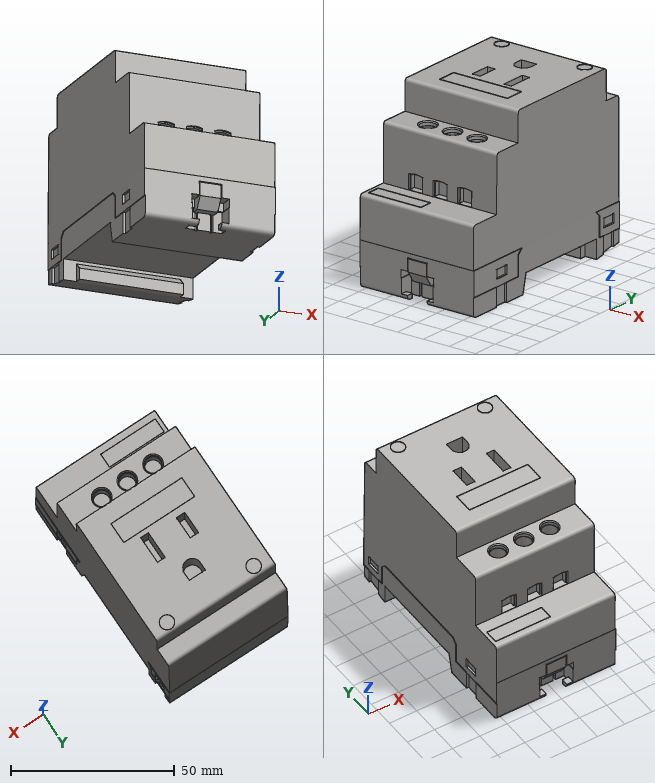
import cadquery as cq

WIDTH = 43.8
LENGTH = 73.9
HEIGHT = 61.8
HALF_WIDTH = WIDTH / 2
OVERLAP = 0.4

SEAM_Z = 15.7
TERMINAL_STEP_Z = 51.0
LABEL_STEP_Z = 30.75
TERMINAL_FRONT_Y = 11.75
SOCKET_FRONT_Y = 22.55
SOCKET_BACK_Y = 67.25
HOUSING_WIDTH = 43.6
HOUSING_LEAN = 0.25
FRONT_DRAFT = 0.1
BACK_DRAFT = 0.3
EDGE_RADIUS = 1.1

BASE_INSET = 0.2
CHANNEL_Z = 6.8
CHANNEL_FRONT_Y = 26.8
CHANNEL_BACK_Y = 62.45
FRONT_FOOT_Y = 25.2
REAR_SLOPE_TOP_Z = 2.15
REAR_SLOPE_END_Y = 62.9
FOOT_RADIUS = 1.5

HOOK_TOP_Z = 5.8
FRONT_HOOK_WIDTH = 7.4
FRONT_HOOK_TIP_Y = 29.7
FRONT_HOOK_NECK_Y = 28.3
FRONT_HOOK_TOE = (25.7, 0.9)
REAR_HOOK_WIDTH = 34.7
REAR_HOOK_TIP = (60.1, 3.6)

PLATE_THICKNESS = 0.95
FRONT_PLATE_Y = 22.7
REAR_PLATE_Y = 63.85
PLATE_CORNER = 1.7
SNAP_LENGTH = 5.2
SNAP_CENTRES_Y = (14.25, 68.6)
SNAP_WINDOW_BOTTOM_Z = 9.4
SNAP_WINDOW_HEIGHT = 3.2
SNAP_WINDOW_DEPTH = 0.75
SNAP_CHANNEL_DEPTH = 0.75

SLIDER_DEPTH = 5.1
SLIDER_X = 0.15
SLIDER_LIP_Z = 1.6
SLIDER_LIP_DEPTH = 2.5
SLIDER_WINDOW_Z = 9.6
SLIDER_WINDOW_WIDTH = 12.5
SLIDER_THROAT_WIDTH = 12.2
SLIDER_GAP_WIDTH = 7.55
FLAP_SEAT_TOP_Z = 14.05
FLAP_SEAT_DEPTH = 1.5
FLAP_CLEARANCE = 0.3
FLAP_EDGE_Z = 9.4
FLAP_UNDERSIDE_Z = 5.7
FLAP_SLOPE_DEPTH = 2.45
SHOULDER_DEPTH = 4.35
TONGUE_WIDTH = 4.3
TONGUE_GROOVE = 0.8

TERMINAL_PITCH = 9.45
TERMINAL_Y = 18.0
SCREW_HOLE_DIAMETER = 5.6
SCREW_HOLE_STEP_DEPTH = 1.5
SCREW_BORE_DIAMETER = 5.3
SCREW_BORE_DEPTH = 5.9
SCREW_HOLE_CHAMFER = 0.4
WIRE_SLOT_HEIGHT = 5.8
WIRE_SLOT_ARCH = 0.5
WIRE_SLOT_WIDTH = 5.3
WIRE_SLOT_STEP = 0.45
WIRE_SLOT_STEP_DEPTH = 0.75
WIRE_SLOT_DEPTH = 2.45
WIRE_SLOT_SILL = 0.15

SOCKET_HOLE_DEPTH = 8.9
EARTH_WIDTH = 5.9
EARTH_TOP_Y = 56.75
EARTH_CENTRE_Y = 54.0
BLADE_CENTRE_Y = 42.0
NEUTRAL_X, NEUTRAL_WIDTH, NEUTRAL_LENGTH = 6.5, 2.8, 9.3
LINE_X, LINE_WIDTH, LINE_LENGTH = -6.2, 3.0, 7.6
RIVET_X = 15.95
RIVET_Y = 63.9
RIVET_DIAMETER = 4.7
RIVET_RECESS = 0.2

PANEL_RECESS = 0.15
SOCKET_PANEL_Y = 32.15
SOCKET_PANEL_WIDTH = 26.1
SOCKET_PANEL_LENGTH = 7.1
STEP_PANEL_X = -10.4
STEP_PANEL_Y = 5.0
STEP_PANEL_WIDTH = 20.1
STEP_PANEL_LENGTH = 4.9


def side_profile(points, x_start, x_end):
    """Extrude a closed outline of (y, z) points between two X positions."""
    outline = cq.Workplane("YZ").workplane(offset=x_start).polyline(points).close()
    return outline.extrude(x_end - x_start)


def block(x_range, y_range, z_range):
    """Box spanning three coordinate ranges."""
    (x0, x1), (y0, y1), (z0, z1) = x_range, y_range, z_range
    return cq.Workplane("XY").box(x1 - x0, y1 - y0, z1 - z0, centered=False).translate((x0, y0, z0))


def centred(width):
    """X range of the given width about the middle plane."""
    return (-width / 2, width / 2)


def face_at(z, x=0.0, y=0.0):
    """Horizontal sketch plane at height z with its origin at (x, y)."""
    return cq.Workplane("XY", origin=(x, y, z))


def stepped_housing():
    outline = [
        (0, SEAM_Z),
        (FRONT_DRAFT, LABEL_STEP_Z),
        (TERMINAL_FRONT_Y, LABEL_STEP_Z),
        (TERMINAL_FRONT_Y, TERMINAL_STEP_Z),
        (SOCKET_FRONT_Y, TERMINAL_STEP_Z),
        (SOCKET_FRONT_Y, HEIGHT),
        (SOCKET_BACK_Y, HEIGHT),
        (SOCKET_BACK_Y, TERMINAL_STEP_Z),
        (LENGTH - BACK_DRAFT, TERMINAL_STEP_Z),
        (LENGTH, SEAM_Z),
    ]
    housing = side_profile(outline, -HOUSING_WIDTH / 2, HOUSING_WIDTH / 2)
    outer_corners = [
        (FRONT_DRAFT, LABEL_STEP_Z),
        (TERMINAL_FRONT_Y, TERMINAL_STEP_Z),
        (SOCKET_FRONT_Y, HEIGHT),
        (SOCKET_BACK_Y, HEIGHT),
        (LENGTH - BACK_DRAFT, TERMINAL_STEP_Z),
    ]
    for y, z in outer_corners:
        housing = housing.edges(cq.selectors.NearestToPointSelector((0, y, z))).fillet(EDGE_RADIUS)
    return housing


def socket_holes():
    half = EARTH_WIDTH / 2
    earth = (
        face_at(HEIGHT)
        .moveTo(-half, EARTH_TOP_Y)
        .lineTo(-half, EARTH_CENTRE_Y)
        .threePointArc((0, EARTH_CENTRE_Y - half), (half, EARTH_CENTRE_Y))
        .lineTo(half, EARTH_TOP_Y)
        .close()
    )
    neutral = face_at(HEIGHT, NEUTRAL_X, BLADE_CENTRE_Y).rect(NEUTRAL_WIDTH, NEUTRAL_LENGTH)
    line = face_at(HEIGHT, LINE_X, BLADE_CENTRE_Y).rect(LINE_WIDTH, LINE_LENGTH)
    holes = earth.extrude(-SOCKET_HOLE_DEPTH)
    holes = holes.union(neutral.extrude(-SOCKET_HOLE_DEPTH))
    return holes.union(line.extrude(-SOCKET_HOLE_DEPTH))


def rivet_recesses():
    rivets = face_at(HEIGHT).pushPoints([(-RIVET_X, RIVET_Y), (RIVET_X, RIVET_Y)])
    return rivets.circle(RIVET_DIAMETER / 2).extrude(-RIVET_RECESS)


def label_panels():
    socket = face_at(HEIGHT, 0, SOCKET_PANEL_Y).rect(SOCKET_PANEL_WIDTH, SOCKET_PANEL_LENGTH)
    step = face_at(LABEL_STEP_Z, STEP_PANEL_X, STEP_PANEL_Y).rect(STEP_PANEL_WIDTH, STEP_PANEL_LENGTH)
    return socket.extrude(-PANEL_RECESS).union(step.extrude(-PANEL_RECESS))


def screw_hole(x):
    """Terminal screw hole with a chamfered mouth, narrowing slightly to the bore below."""
    radius = SCREW_HOLE_DIAMETER / 2
    mouth_face = face_at(TERMINAL_STEP_Z, x, TERMINAL_Y)
    hole = mouth_face.circle(radius).extrude(-SCREW_HOLE_STEP_DEPTH)
    bore = mouth_face.circle(SCREW_BORE_DIAMETER / 2).extrude(-SCREW_BORE_DEPTH)
    mouth = mouth_face.circle(radius + SCREW_HOLE_CHAMFER).extrude(-SCREW_HOLE_CHAMFER, taper=45)
    return hole.union(bore).union(mouth)


def arched_slot(x, width, height, depth):
    """Slot with an arched top, cut backwards from the terminal wall."""
    half = width / 2
    sill_z = LABEL_STEP_Z + WIRE_SLOT_SILL
    shoulder_z = LABEL_STEP_Z + height - WIRE_SLOT_ARCH
    wall = cq.Workplane("XZ", origin=(x, TERMINAL_FRONT_Y, 0))
    outline = (
        wall.moveTo(-half, sill_z)
        .lineTo(-half, shoulder_z)
        .threePointArc((0, LABEL_STEP_Z + height), (half, shoulder_z))
        .lineTo(half, sill_z)
        .close()
    )
    return outline.extrude(-depth)


def wire_slot(x):
    """Wire entry that narrows by a small step part way in."""
    mouth = arched_slot(x, WIRE_SLOT_WIDTH, WIRE_SLOT_HEIGHT, WIRE_SLOT_STEP_DEPTH)
    throat_width = WIRE_SLOT_WIDTH - 2 * WIRE_SLOT_STEP
    throat = arched_slot(x, throat_width, WIRE_SLOT_HEIGHT - WIRE_SLOT_STEP, WIRE_SLOT_DEPTH)
    return mouth.union(throat)


def leaning_housing():
    housing = stepped_housing().cut(socket_holes()).cut(rivet_recesses()).cut(label_panels())
    for x in (-TERMINAL_PITCH, 0, TERMINAL_PITCH):
        housing = housing.cut(screw_hole(x)).cut(wire_slot(x))
    housing = housing.translate(((HOUSING_WIDTH - WIDTH) / 2, 0, 0))
    return housing.rotate((-HALF_WIDTH, 0, SEAM_Z), (-HALF_WIDTH, 1, SEAM_Z), HOUSING_LEAN)


def rail_base():
    outline = [
        (0, 0),
        (0, SEAM_Z),
        (LENGTH, SEAM_Z),
        (LENGTH, REAR_SLOPE_TOP_Z),
        (REAR_SLOPE_END_Y, 0),
        (CHANNEL_BACK_Y, 0),
        (CHANNEL_BACK_Y, CHANNEL_Z),
        (CHANNEL_FRONT_Y, CHANNEL_Z),
        (FRONT_FOOT_Y, 0),
    ]
    half = HALF_WIDTH - BASE_INSET
    base = side_profile(outline, -half, half)
    return base.edges(cq.selectors.NearestToPointSelector((0, 0, 0))).fillet(FOOT_RADIUS)


def rail_hooks():
    toe_y, toe_z = FRONT_HOOK_TOE
    front_outline = [
        (FRONT_FOOT_Y - OVERLAP, toe_z),
        (FRONT_FOOT_Y - OVERLAP, CHANNEL_Z + OVERLAP),
        (FRONT_HOOK_NECK_Y, CHANNEL_Z + OVERLAP),
        (FRONT_HOOK_NECK_Y, HOOK_TOP_Z),
        (FRONT_HOOK_TIP_Y, HOOK_TOP_Z),
        (toe_y, toe_z),
    ]
    tip_y, tip_z = REAR_HOOK_TIP
    rear_outline = [
        (REAR_SLOPE_END_Y, 0),
        (REAR_SLOPE_END_Y, HOOK_TOP_Z),
        (CHANNEL_BACK_Y, HOOK_TOP_Z),
        (tip_y, tip_z),
        (tip_y, 0),
    ]
    front = side_profile(front_outline, *centred(FRONT_HOOK_WIDTH))
    rear = side_profile(rear_outline, *centred(REAR_HOOK_WIDTH))
    return front.union(rear)


def side_plates():
    """Front and rear snap plates on the left side, each with a slanted inner corner."""
    front_outline = [
        (0, CHANNEL_Z),
        (0, SEAM_Z),
        (FRONT_PLATE_Y + PLATE_CORNER, SEAM_Z),
        (FRONT_PLATE_Y, SEAM_Z - PLATE_CORNER),
        (FRONT_PLATE_Y, CHANNEL_Z),
    ]
    rear_outline = [
        (LENGTH, CHANNEL_Z),
        (LENGTH, SEAM_Z),
        (REAR_PLATE_Y - PLATE_CORNER, SEAM_Z),
        (REAR_PLATE_Y, SEAM_Z - PLATE_CORNER),
        (REAR_PLATE_Y, CHANNEL_Z),
    ]
    inner_x = PLATE_THICKNESS - HALF_WIDTH
    front = side_profile(front_outline, -HALF_WIDTH, inner_x)
    return front.union(side_profile(rear_outline, -HALF_WIDTH, inner_x))


def snap_cuts():
    """Snap windows in the left plates and the channels in the feet below them."""
    window_z = (SNAP_WINDOW_BOTTOM_Z, SNAP_WINDOW_BOTTOM_Z + SNAP_WINDOW_HEIGHT)
    window_x = (-HALF_WIDTH, SNAP_WINDOW_DEPTH - HALF_WIDTH)
    channel_x = (-HALF_WIDTH, BASE_INSET + SNAP_CHANNEL_DEPTH - HALF_WIDTH)
    cuts = cq.Workplane()
    for y in SNAP_CENTRES_Y:
        span_y = (y - SNAP_LENGTH / 2, y + SNAP_LENGTH / 2)
        cuts = cuts.union(block(window_x, span_y, window_z))
        cuts = cuts.union(block(channel_x, span_y, (0, CHANNEL_Z)))
    return cuts


def slider_opening():
    """Window for the release slider, open downwards between and behind two lips."""
    window_x = centred(SLIDER_WINDOW_WIDTH)
    throat_x = centred(SLIDER_THROAT_WIDTH)
    gap_x = centred(SLIDER_GAP_WIDTH)
    upper = block(window_x, (0, SHOULDER_DEPTH), (CHANNEL_Z, SLIDER_WINDOW_Z))
    lower = block(throat_x, (0, SLIDER_DEPTH), (SLIDER_LIP_Z, CHANNEL_Z))
    behind_lips = block(throat_x, (SLIDER_LIP_DEPTH, SLIDER_DEPTH), (0, SLIDER_LIP_Z))
    gap = block(gap_x, (0, SLIDER_LIP_DEPTH), (0, SLIDER_LIP_Z))
    flap_seat = block(gap_x, (0, FLAP_SEAT_DEPTH), (SLIDER_WINDOW_Z, FLAP_SEAT_TOP_Z))
    opening = upper.union(lower).union(behind_lips).union(gap).union(flap_seat)
    groove = block(centred(TONGUE_GROOVE), (0, SLIDER_DEPTH + TONGUE_GROOVE), (0, FLAP_UNDERSIDE_Z))
    groove_offset = (TONGUE_WIDTH + TONGUE_GROOVE) / 2
    for x in (-groove_offset, groove_offset):
        opening = opening.union(groove.translate((x, 0, 0)))
    return opening.translate((SLIDER_X, 0, 0))


def slider_flap():
    """Finger flap of the slider with a sloping underside, set in its seat with a narrow gap."""
    flap_top_z = FLAP_SEAT_TOP_Z - FLAP_CLEARANCE
    outline = [
        (0, flap_top_z),
        (0, FLAP_EDGE_Z),
        (FLAP_SLOPE_DEPTH, FLAP_UNDERSIDE_Z),
        (SLIDER_DEPTH + OVERLAP, FLAP_UNDERSIDE_Z),
        (SLIDER_DEPTH + OVERLAP, flap_top_z),
    ]
    flap = side_profile(outline, *centred(SLIDER_GAP_WIDTH - 2 * FLAP_CLEARANCE))
    return flap.translate((SLIDER_X, 0, 0))


def complete_base():
    base = rail_base().union(rail_hooks())
    plates = side_plates()
    cuts = snap_cuts()
    base = base.union(plates).union(plates.mirror("YZ"))
    base = base.cut(cuts).cut(cuts.mirror("YZ"))
    return base.cut(slider_opening()).union(slider_flap())


result = complete_base().union(leaning_housing())